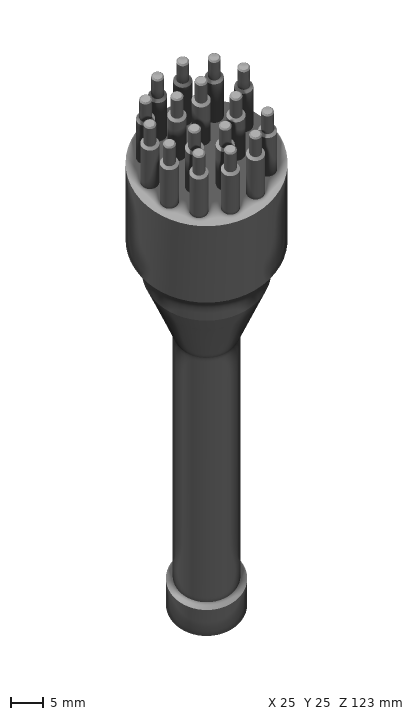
import cadquery as cq
import math

total_height = 123.0

ferrule_diameter = 12.5
ferrule_height = 6.4
ferrule_taper_height = 0.6
cable_diameter = 10.5
cone_bottom = 67.2
cone_height = 15.1
neck_diameter = 20.0
neck_height = 7.5

body_diameter = 25.0
body_bottom = cone_bottom + cone_height + neck_height
body_top = 108.6

pin_diameter = 3.0
pin_tip_diameter = 2.0
pin_tip_length = 4.9
pin_tip_chamfer = 0.2
pin_taper_height = 0.4
pin_embedding = 1.2
pin_shoulder = total_height - pin_tip_length

outer_ring_radius = 9.5
outer_ring_positions = 12
key_angle = 90.0

inner_ring_radius = 4.9
upper_pair_angle = 13.0
lower_pair_angle = -45.0


def make_handle():
    """Revolve the ferrule, cable, cone, neck and body as one stepped profile."""
    ferrule_radius = ferrule_diameter / 2
    cable_radius = cable_diameter / 2
    neck_radius = neck_diameter / 2
    body_radius = body_diameter / 2
    profile = [
        (0, 0),
        (ferrule_radius, 0),
        (ferrule_radius, ferrule_height),
        (cable_radius, ferrule_height + ferrule_taper_height),
        (cable_radius, cone_bottom),
        (neck_radius, cone_bottom + cone_height),
        (neck_radius, body_bottom),
        (body_radius, body_bottom),
        (body_radius, body_top),
        (0, body_top),
    ]
    return cq.Workplane("XZ").polyline(profile).close().revolve(360, (0, 0), (0, 1))


def ring_point(radius, angle):
    """Point on a circle about the Z axis, with the angle in degrees from +X."""
    turn = math.radians(angle)
    return (radius * math.cos(turn), radius * math.sin(turn))


def pin_positions():
    """Centres of the outer and inner pins."""
    step = 360 / outer_ring_positions
    outer = [
        ring_point(outer_ring_radius, key_angle + step * index)
        for index in range(1, outer_ring_positions)
    ]
    inner_angles = [key_angle]
    for angle in (upper_pair_angle, lower_pair_angle):
        inner_angles += [angle, 180 - angle]
    inner = [ring_point(inner_ring_radius, angle) for angle in inner_angles]
    return outer + inner


def make_pin():
    """Revolve one stepped pin with a tapered shoulder and chamfered tip, centred on the Z axis."""
    pin_radius = pin_diameter / 2
    tip_radius = pin_tip_diameter / 2
    profile = [
        (0, body_top - pin_embedding),
        (pin_radius, body_top - pin_embedding),
        (pin_radius, pin_shoulder),
        (tip_radius, pin_shoulder + pin_taper_height),
        (tip_radius, total_height - pin_tip_chamfer),
        (tip_radius - pin_tip_chamfer, total_height),
        (0, total_height),
    ]
    return cq.Workplane("XZ").polyline(profile).close().revolve(360, (0, 0), (0, 1))


result = make_handle()
for x, y in pin_positions():
    result = result.union(make_pin().translate((x, y, 0)))